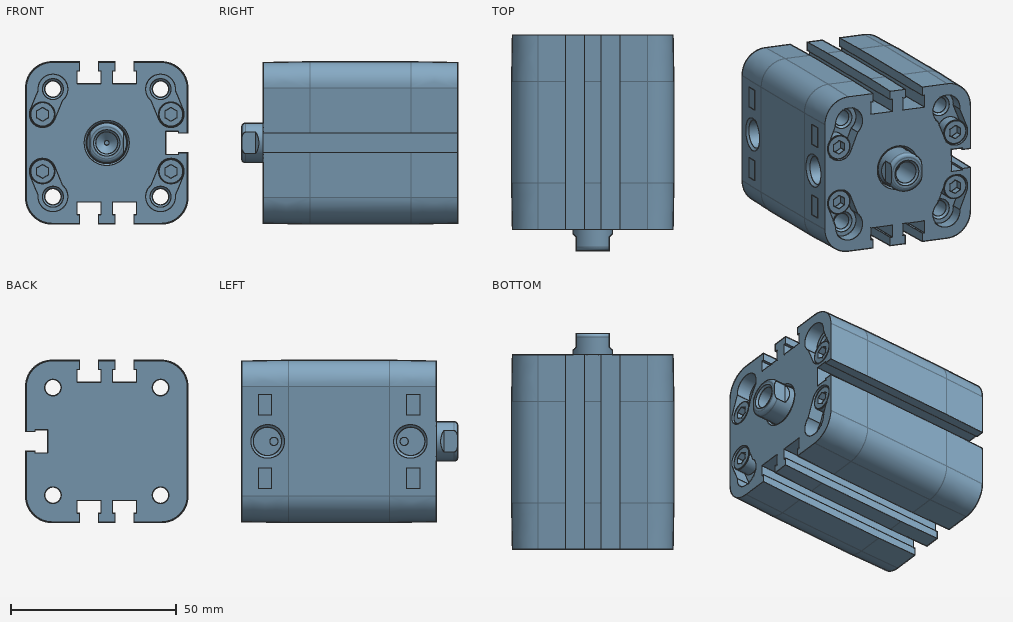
import cadquery as cq
import math


total_length = 65.2
rod_projection = 6.45
body_length = total_length - rod_projection
body_width = 49.0
half_width = body_width / 2
corner_radius = 8.0
cap_length = 14.1
cap_draft = 1.0

slot_mouth = 5.7
slot_inner = 7.2
slot_depth = 6.65
slot_lip = 2.9
slot_offset = 5.35
side_slot_mouth = 5.95
side_slot_inner = 6.9

mount_offset = 16.25
mount_diameter = 4.9
mount_chamfer = 0.7
mount_recess_diameter = 9.0
screw_x = 19.35
screw_z = 8.6
screw_recess_diameter = 7.95
screw_head_diameter = 7.5
recess_depth = 4.7
screw_head_sink = 0.45
screw_head_chamfer = 0.2
hex_across_flats = 3.6
hex_depth = 2.6

rod_diameter = 12.0
rod_flats = 10.1
rod_flat_length = 4.25
rod_tip_radius = 1.2
rod_bore_diameter = 6.65
rod_bore_chamfer = 0.65
rod_bore_depth = 11.75
rod_bore_tip_diameter = 1.45
rod_bore_cone_depth = 1.95
guide_diameter = 12.5
guide_mouth_diameter = 13.6
guide_depth = 3.25

port_inset = 7.75
port_diameter = 8.55
port_chamfer = 0.9
port_depth = 7.8
passage_diameter = 2.5
passage_offset = 1.95
passage_depth = 3.9

label_inset = 7.05
label_offset = 11.1
label_length = 4.05
label_height = 6.2
label_depth = 0.25


def plane_at(y):
    """Plane across the body axis at y: local x = +X, local y = +Z, normal = -Y."""
    return cq.Workplane("XZ", origin=(0, y, 0))


def cylinder(x, z, diameter, y_start, length):
    """Cylinder parallel to Y, from y_start towards +Y."""
    return plane_at(y_start).center(x, z).circle(diameter / 2).extrude(-length)


def cone(x, z, start_diameter, end_diameter, y_start, length):
    """Frustum parallel to Y, from y_start towards +Y."""
    solid = cq.Solid.makeCone(
        start_diameter / 2, end_diameter / 2, length, cq.Vector(x, y_start, z), cq.Vector(0, 1, 0)
    )
    return cq.Workplane(solid)


def profile(y):
    """Rounded square outline of the body."""
    return plane_at(y).sketch().rect(body_width, body_width).vertices().fillet(corner_radius).finalize()


def make_body():
    """Straight barrel between two end caps that narrow towards their outer faces."""
    barrel_end = body_length - cap_length
    barrel = profile(cap_length).extrude(cap_length - barrel_end)
    front_cap = profile(cap_length).extrude(cap_length, taper=cap_draft)
    rear_cap = profile(barrel_end).extrude(-cap_length, taper=cap_draft)
    return barrel.union(front_cap).union(rear_cap)


def t_slot(mouth, inner, offset, turn):
    """T-slot in the +Z side at the given X offset, turned about the body axis by turn degrees."""
    floor = half_width - slot_depth
    lip = half_width - slot_lip
    neck = cq.Workplane().box(mouth, body_length, slot_depth, centered=(True, False, False))
    head = cq.Workplane().box(inner, body_length, lip - floor, centered=(True, False, False))
    return neck.union(head).translate((offset, 0, floor)).rotate((0, 0, 0), (0, 1, 0), turn)


def cut_t_slots(body):
    """Two slots each in the top and bottom, one in the +X side."""
    for turn in (0, 180):
        for offset in (-slot_offset, slot_offset):
            body = body.cut(t_slot(slot_mouth, slot_inner, offset, turn))
    return body.cut(t_slot(side_slot_mouth, side_slot_inner, 0, 90))


def mount_recess(x, z, sx, sz):
    """Pear-shaped pocket joining the mounting hole at (x, z) to the screw seat at (sx, sz)."""
    span = math.hypot(sx - x, sz - z)
    angle = math.degrees(math.atan2(sz - z, sx - x))
    channel = (
        plane_at(0)
        .center((x + sx) / 2, (z + sz) / 2)
        .transformed(rotate=(0, 0, angle))
        .slot2D(span + screw_recess_diameter, screw_recess_diameter)
        .extrude(-recess_depth)
    )
    return channel.union(cylinder(x, z, mount_recess_diameter, 0, recess_depth))


def screw_head(x, z):
    """Socket head with a hexagon recess, two corners of the hexagon on a vertical line."""
    head = cylinder(x, z, screw_head_diameter, screw_head_sink, recess_depth - screw_head_sink)
    head = head.faces("<Y").chamfer(screw_head_chamfer)
    hex_corners = hex_across_flats / math.cos(math.pi / 6)
    socket = (
        plane_at(screw_head_sink)
        .center(x, z)
        .transformed(rotate=(0, 0, 90))
        .polygon(6, hex_corners)
        .extrude(-hex_depth)
    )
    return head.cut(socket)


def add_mounts(body):
    """Recess, screw head and chamfered through hole in each corner."""
    for side in (-1, 1):
        for level in (-1, 1):
            x, z = side * mount_offset, level * mount_offset
            sx, sz = side * screw_x, level * screw_z
            mouth = mount_diameter + 2 * mount_chamfer
            body = body.cut(mount_recess(x, z, sx, sz))
            body = body.union(screw_head(sx, sz))
            body = body.cut(cylinder(x, z, mount_diameter, 0, body_length))
            body = body.cut(cone(x, z, mouth, mount_diameter, recess_depth, mount_chamfer))
    return body


def cut_rod_guide(body):
    """Clearance around the rod with a chamfered mouth."""
    chamfer = (guide_mouth_diameter - guide_diameter) / 2
    body = body.cut(cylinder(0, 0, guide_diameter, 0, guide_depth))
    return body.cut(cone(0, 0, guide_mouth_diameter, guide_diameter, 0, chamfer))


def make_rod():
    """Rod end with a rounded tip and two wrench flats that run out at 45 degrees."""
    tip = -rod_projection
    rod = cylinder(0, 0, rod_diameter, tip, rod_projection + guide_depth)
    rod = rod.faces("<Y").edges().fillet(rod_tip_radius)

    flat = rod_flats / 2
    slope = rod_diameter / 2 - flat
    flat_end = tip + rod_flat_length
    flat_cut = (
        cq.Workplane("XY")
        .moveTo(flat, tip)
        .lineTo(flat, flat_end)
        .lineTo(flat + slope, flat_end + slope)
        .lineTo(flat + slope, tip)
        .close()
        .extrude(rod_diameter, both=True)
    )
    return rod.cut(flat_cut).cut(flat_cut.mirror("YZ"))


def rod_bore():
    """Blind bore in the rod tip, chamfered at the mouth and conical at the end."""
    tip = -rod_projection
    mouth = rod_bore_diameter + 2 * rod_bore_chamfer
    bore = cylinder(0, 0, rod_bore_diameter, tip, rod_bore_depth)
    bore = bore.union(cone(0, 0, mouth, rod_bore_diameter, tip, rod_bore_chamfer))
    bore_end = tip + rod_bore_depth
    return bore.union(cone(0, 0, rod_bore_diameter, rod_bore_tip_diameter, bore_end, rod_bore_cone_depth))


def port(y, passage_y):
    """Chamfered port with a small air passage in its floor, bored from the -X side."""
    bore_radius = port_diameter / 2
    side = cq.Workplane("YZ", origin=(-half_width, 0, 0))
    bore = side.center(y, 0).circle(bore_radius).extrude(port_depth)
    passage_length = port_depth + passage_depth
    passage = side.center(passage_y, 0).circle(passage_diameter / 2).extrude(passage_length)
    mouth = cq.Solid.makeCone(
        bore_radius + port_chamfer,
        bore_radius,
        port_chamfer,
        cq.Vector(-half_width, y, 0),
        cq.Vector(1, 0, 0),
    )
    return bore.union(passage).union(cq.Workplane(mouth))


def cut_ports(body):
    """One port in each cap, their passages shifted towards the middle of the body."""
    rear_port = body_length - port_inset
    body = body.cut(port(port_inset, port_inset + passage_offset))
    return body.cut(port(rear_port, rear_port - passage_offset))


def cut_labels(body):
    """Rectangular fields sunk into the -X side of both caps."""
    side = cq.Workplane("YZ", origin=(-half_width, 0, 0))
    label_rows = (label_inset, body_length - label_inset)
    centres = [(y, z) for y in label_rows for z in (-label_offset, label_offset)]
    fields = side.pushPoints(centres).rect(label_length, label_height).extrude(label_depth)
    return body.cut(fields)


body = cut_t_slots(make_body())
body = add_mounts(body)
body = cut_rod_guide(body)
body = cut_ports(body)
body = cut_labels(body)
result = body.union(make_rod()).cut(rod_bore())